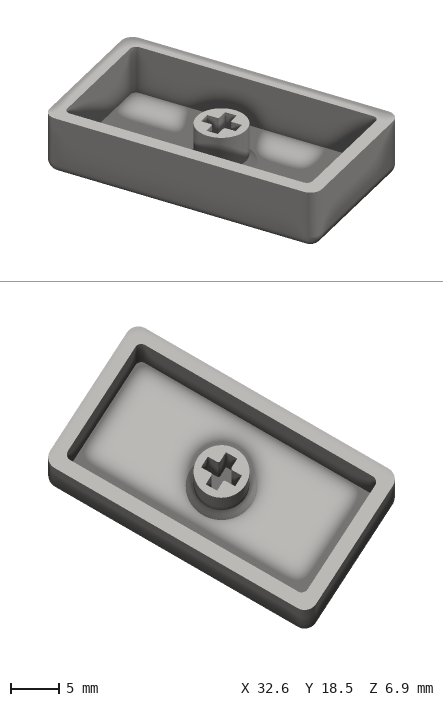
import cadquery as cq

tray_length = 32.35
tray_width = 18.05
tray_height = 6.9
tray_turn = -0.88
outer_radius = 1.4
cavity_corner_radius = 0.72
wall = 1.6
floor_thickness = 1.3

stem_diameter = 5.8
stem_height = 4.6
foot_size = 0.8

socket_span = 4.1
socket_slot = 1.37
socket_corner_radius = 0.23


def make_tray():
    body = (
        cq.Workplane("XY")
        .box(tray_length, tray_width, tray_height, centered=(True, True, False))
        .edges("|Z")
        .fillet(outer_radius)
        .faces("<Z")
        .edges()
        .fillet(outer_radius)
    )
    cavity = (
        cq.Workplane("XY")
        .workplane(offset=floor_thickness)
        .rect(tray_length - 2 * wall, tray_width - 2 * wall)
        .extrude(tray_height - floor_thickness)
        .edges("|Z")
        .fillet(cavity_corner_radius)
    )
    return body.cut(cavity).rotate((0, 0, 0), (0, 0, 1), tray_turn)


def make_stem():
    stem_radius = stem_diameter / 2
    root = floor_thickness / 2
    foot_radius = stem_radius + foot_size
    top = floor_thickness + stem_height
    return (
        cq.Workplane("XZ")
        .moveTo(0, root)
        .lineTo(stem_radius, root)
        .lineTo(stem_radius, floor_thickness)
        .lineTo(foot_radius, floor_thickness)
        .lineTo(stem_radius, floor_thickness + foot_size)
        .lineTo(stem_radius, top)
        .lineTo(0, top)
        .close()
        .revolve(360, (0, 0), (0, 1))
    )


def make_socket():
    base = cq.Workplane("XY").workplane(offset=floor_thickness)
    along_x = base.rect(socket_span, socket_slot).extrude(stem_height)
    along_y = base.rect(socket_slot, socket_span).extrude(stem_height)
    reach = (socket_slot + socket_span) / 4
    inner_corners = cq.selectors.BoxSelector(
        (-reach, -reach, floor_thickness),
        (reach, reach, floor_thickness + stem_height),
    )
    return along_x.union(along_y).edges("|Z").edges(inner_corners).fillet(socket_corner_radius)


result = make_tray().union(make_stem()).cut(make_socket())